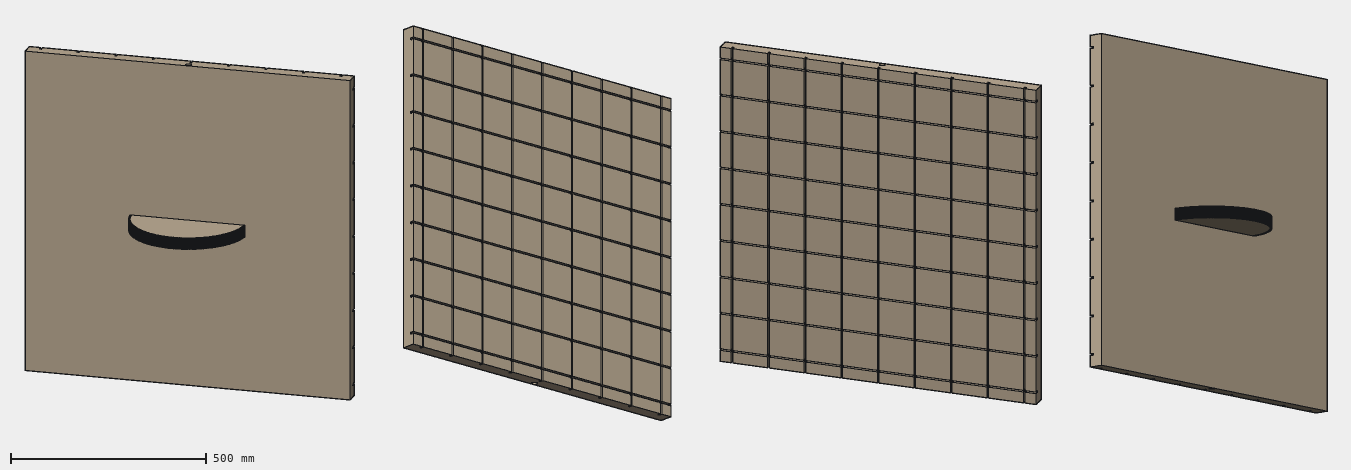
import cadquery as cq
import math

plate_side = 865.0
plate_thickness = 39.0
overall_depth = 183.69
back_y = plate_thickness / 2
front_y = -plate_thickness / 2

groove_pitch = 100.0
grooves_each_side = 4
groove_width = 4.3
groove_depth = 10.0

pin_diameter = 15.0
axis_inset = 9.0
axis_y = front_y + axis_inset

disc_thickness = 30.0
tooth_count = 240
root_radius = 150.0
tip_radius = overall_depth - plate_thickness + axis_inset
tip_land_share = 0.25
root_gap_share = 0.25


def make_plate():
    return cq.Workplane("XY").box(plate_side, plate_thickness, plate_side)


def polar_point(radius, angle):
    return (radius * math.cos(angle), radius * math.sin(angle))


def make_half_disc():
    """Front part of the toothed disc, from its axis forward, with a tooth centred on -Y."""
    pitch = 2 * math.pi / tooth_count
    half_tip = tip_land_share * pitch / 2
    half_root = (1 - root_gap_share) * pitch / 2
    outline = []
    for tooth in range(tooth_count):
        middle = -math.pi / 2 + tooth * pitch
        outline.append(polar_point(root_radius, middle - half_root))
        outline.append(polar_point(tip_radius, middle - half_tip))
        outline.append(polar_point(tip_radius, middle + half_tip))
        outline.append(polar_point(root_radius, middle + half_root))
    disc = cq.Workplane("XY").polyline(outline).close().extrude(disc_thickness / 2, both=True)
    front_half = (
        cq.Workplane("XY")
        .box(2 * tip_radius, tip_radius, disc_thickness)
        .translate((0, -tip_radius / 2, 0))
    )
    return disc.intersect(front_half).translate((0, axis_y, 0))


def cut_back_grooves(body):
    """Cut the vertical and horizontal grooves that run right across the back face."""
    groove_y = back_y - groove_depth / 2
    vertical = cq.Workplane("XY").box(groove_width, groove_depth, plate_side)
    horizontal = cq.Workplane("XY").box(plate_side, groove_depth, groove_width)
    for step in range(-grooves_each_side, grooves_each_side + 1):
        offset = step * groove_pitch
        body = body.cut(vertical.translate((offset, groove_y, 0)))
        body = body.cut(horizontal.translate((0, groove_y, offset)))
    return body


def cut_pin_hole(body):
    """Drill the pin hole through the full height of the plate and the disc."""
    pin = cq.Workplane("XY").circle(pin_diameter / 2).extrude(plate_side / 2, both=True)
    return body.cut(pin.translate((0, axis_y, 0)))


result = make_plate().union(make_half_disc())
result = cut_back_grooves(result)
result = cut_pin_hole(result)